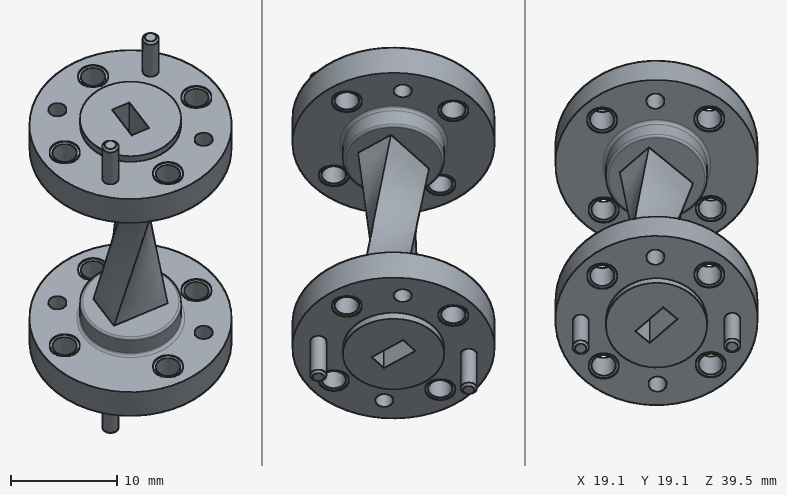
import cadquery as cq
import math

total_length = 39.5
body_length = 31.75
boss_height = 0.8
flange_thickness = 3.3
collar_height = 2.3

mating_z = body_length / 2
flange_outer_z = mating_z - boss_height
flange_inner_z = flange_outer_z - flange_thickness
tube_end_z = flange_inner_z - collar_height

flange_diameter = 19.05
boss_diameter = 9.5
collar_diameter = boss_diameter
collar_edge_fillet = 0.25
collar_root_fillet = 0.3

pitch_diameter = 14.25
bolt_hole_diameter = 2.3
counterbore_diameter = 2.85
counterbore_depth = 0.1
bolt_angles = (0, 90, 180, 270)
alignment_hole_diameter = 1.7
alignment_hole_angles = (45, 225)
pin_diameter = 1.55
pin_chamfer = 0.25
pin_angles = (135, 315)

bore_long = 3.75
bore_short = bore_long / 2
wall = 1.03


def on_pitch_circle(angle):
    radius = pitch_diameter / 2
    turn = math.radians(angle)
    return (radius * math.cos(turn), radius * math.sin(turn))


def rod(diameter, z_start, z_end):
    return cq.Workplane("XY").workplane(offset=z_start).circle(diameter / 2).extrude(z_end - z_start)


def twisted_bar(long_side, short_side):
    """Straight-edged bar whose rectangular section makes a quarter turn along the tube."""
    x, y = long_side / 2, short_side / 2
    top = [cq.Vector(px, py, tube_end_z) for px, py in ((x, y), (-x, y), (-x, -y), (x, -y))]
    bottom = [cq.Vector(corner.y, -corner.x, -tube_end_z) for corner in top]

    faces = [cq.Face.makeFromWires(cq.Wire.makePolygon(corners, close=True)) for corners in (top, bottom)]
    for i in range(len(top)):
        top_edge = cq.Edge.makeLine(top[i - 1], top[i])
        bottom_edge = cq.Edge.makeLine(bottom[i - 1], bottom[i])
        faces.append(cq.Face.makeRuledSurface(top_edge, bottom_edge))
    return cq.Workplane(obj=cq.Solid.makeSolid(cq.Shell.makeShell(faces)))


def bolt_hole_cutter():
    """Through hole with a shallow counterbore on both faces of the flange."""
    hole = rod(bolt_hole_diameter, flange_inner_z, flange_outer_z)
    inner_counterbore = rod(counterbore_diameter, flange_inner_z, flange_inner_z + counterbore_depth)
    outer_counterbore = rod(counterbore_diameter, flange_outer_z - counterbore_depth, flange_outer_z)
    return hole.union(inner_counterbore).union(outer_counterbore)


def collar():
    """Collar between flange and tube, rounded at its free edge and filleted into the flange."""
    radius = collar_diameter / 2
    body = rod(collar_diameter, tube_end_z, flange_inner_z).faces("<Z").edges().fillet(collar_edge_fillet)
    root = (
        cq.Workplane("XZ")
        .moveTo(radius, flange_inner_z - collar_root_fillet)
        .radiusArc((radius + collar_root_fillet, flange_inner_z), collar_root_fillet)
        .lineTo(radius, flange_inner_z)
        .close()
        .revolve(360, (0, 0), (0, 1))
    )
    return body.union(root)


def upper_flange():
    flange = rod(flange_diameter, flange_inner_z, flange_outer_z)
    flange = flange.union(collar()).union(rod(boss_diameter, flange_outer_z, mating_z))

    bolt_hole = bolt_hole_cutter()
    for angle in bolt_angles:
        flange = flange.cut(bolt_hole.translate(on_pitch_circle(angle)))

    alignment_hole = rod(alignment_hole_diameter, flange_inner_z, flange_outer_z)
    for angle in alignment_hole_angles:
        flange = flange.cut(alignment_hole.translate(on_pitch_circle(angle)))

    pin = rod(pin_diameter, flange_inner_z, total_length / 2).faces(">Z").chamfer(pin_chamfer)
    for angle in pin_angles:
        flange = flange.union(pin.translate(on_pitch_circle(angle)))

    bore = cq.Workplane("XY").rect(bore_long, bore_short).extrude(mating_z)
    return flange.cut(bore)


def twisted_tube():
    outside = twisted_bar(bore_long + 2 * wall, bore_short + 2 * wall)
    return outside.cut(twisted_bar(bore_long, bore_short))


upper = upper_flange()
lower = upper.rotate((0, 0, 0), (1, -1, 0), 180)
result = upper.union(twisted_tube()).union(lower)